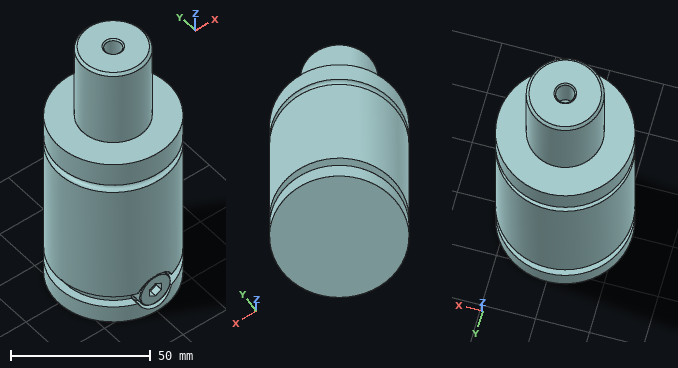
import cadquery as cq
import math

total_height = 116.0
body_diameter = 50.0
body_height = 81.0
body_radius = body_diameter / 2

rod_diameter = 28.0
rod_edge_chamfer = 1.0

hole_diameter = 6.8
hole_mouth_diameter = 8.0
hole_depth = 13.9
drill_tip_angle = 118

round_groove_bottom = 66.7
round_groove_width = 3.7
round_groove_depth = 2.2
round_groove_lip = round_groove_depth - round_groove_width / 2

square_groove_bottom = 7.8
square_groove_width = 5.2
square_groove_diameter = 43.4

plug_height = square_groove_bottom + square_groove_width / 2
plug_recess_diameter = 16.0
plug_recess_floor = 19.3
plug_diameter = 14.0
plug_face = 24.2
plug_edge_chamfer = 0.3
socket_across_flats = 5.3
socket_depth = 2.9


def make_body():
    """Body and rod turned as one profile, including both grooves."""
    rod_radius = rod_diameter / 2
    square_groove_radius = square_groove_diameter / 2
    square_groove_top = square_groove_bottom + square_groove_width
    round_groove_top = round_groove_bottom + round_groove_width
    round_groove_start = body_radius - round_groove_lip
    profile = (
        cq.Workplane("XZ")
        .lineTo(body_radius, 0)
        .lineTo(body_radius, square_groove_bottom)
        .lineTo(square_groove_radius, square_groove_bottom)
        .lineTo(square_groove_radius, square_groove_top)
        .lineTo(body_radius, square_groove_top)
        .lineTo(body_radius, round_groove_bottom)
        .lineTo(round_groove_start, round_groove_bottom)
        .threePointArc(
            (body_radius - round_groove_depth, round_groove_bottom + round_groove_width / 2),
            (round_groove_start, round_groove_top),
        )
        .lineTo(body_radius, round_groove_top)
        .lineTo(body_radius, body_height)
        .lineTo(rod_radius, body_height)
        .lineTo(rod_radius, total_height - rod_edge_chamfer)
        .lineTo(rod_radius - rod_edge_chamfer, total_height)
        .lineTo(0, total_height)
        .close()
    )
    return profile.revolve(360, (0, 0, 0), (0, 1, 0))


def make_rod_hole():
    """Blind hole with a 45 degree mouth and a conical drill tip."""
    radius = hole_diameter / 2
    mouth_radius = hole_mouth_diameter / 2
    tip_length = radius / math.tan(math.radians(drill_tip_angle / 2))
    hole_bottom = total_height - hole_depth
    profile = (
        cq.Workplane("XZ")
        .moveTo(0, total_height)
        .lineTo(mouth_radius, total_height)
        .lineTo(radius, total_height - (mouth_radius - radius))
        .lineTo(radius, hole_bottom)
        .lineTo(0, hole_bottom - tip_length)
        .close()
    )
    return profile.revolve(360, (0, 0, 0), (0, 1, 0))


def plug_plane(distance):
    """Plane facing -Y on the plug axis, at a distance from the body axis."""
    return cq.Workplane("XZ", origin=(0, -distance, plug_height))


def make_plug_recess():
    """Round recess running outward through the body wall."""
    length = body_radius - plug_recess_floor
    return plug_plane(plug_recess_floor).circle(plug_recess_diameter / 2).extrude(length)


def make_plug():
    """Plug head standing on the recess floor, with a hexagon socket."""
    head = (
        plug_plane(plug_recess_floor)
        .circle(plug_diameter / 2)
        .extrude(plug_face - plug_recess_floor)
        .faces("<Y")
        .chamfer(plug_edge_chamfer)
    )
    socket_diameter = socket_across_flats / math.cos(math.pi / 6)
    socket = (
        plug_plane(plug_face)
        .transformed(rotate=(0, 0, 90))
        .polygon(6, socket_diameter)
        .extrude(-socket_depth)
    )
    return head.cut(socket)


result = make_body().cut(make_rod_hole()).cut(make_plug_recess()).union(make_plug())